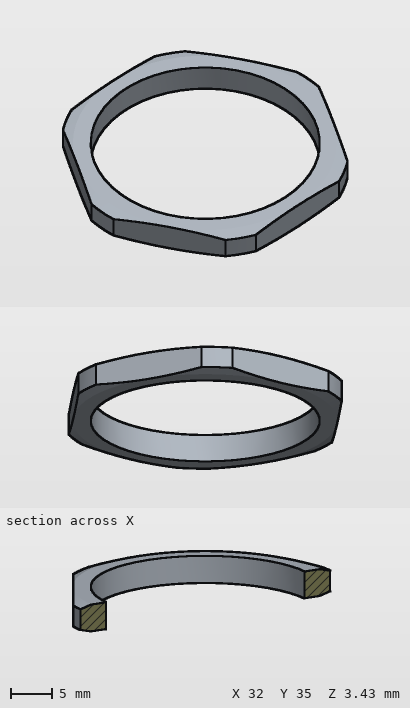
import cadquery as cq
import math

corner_diameter = 34.98
across_flats = 32.0
bore_diameter = 27.75
thickness = 3.43
chamfer_angle = 15.0

corner_radius = corner_diameter / 2
face_radius = across_flats / 2
chamfer_height = (corner_radius - face_radius) * math.tan(math.radians(chamfer_angle))
across_corners = across_flats / math.cos(math.pi / 6)


def hexagonal_prism():
    """Hexagon with flats facing +X and -X, corners on the Y axis."""
    return (
        cq.Workplane("XY")
        .transformed(rotate=(0, 0, 90))
        .polygon(6, across_corners)
        .extrude(thickness)
    )


def chamfered_blank():
    """Revolved disc that rounds the corners and chamfers both faces."""
    profile = [
        (0, 0),
        (face_radius, 0),
        (corner_radius, chamfer_height),
        (corner_radius, thickness - chamfer_height),
        (face_radius, thickness),
        (0, thickness),
    ]
    return cq.Workplane("XZ").polyline(profile).close().revolve(360, (0, 0), (0, 1))


bore = cq.Workplane("XY").circle(bore_diameter / 2).extrude(thickness)

result = hexagonal_prism().intersect(chamfered_blank()).cut(bore)